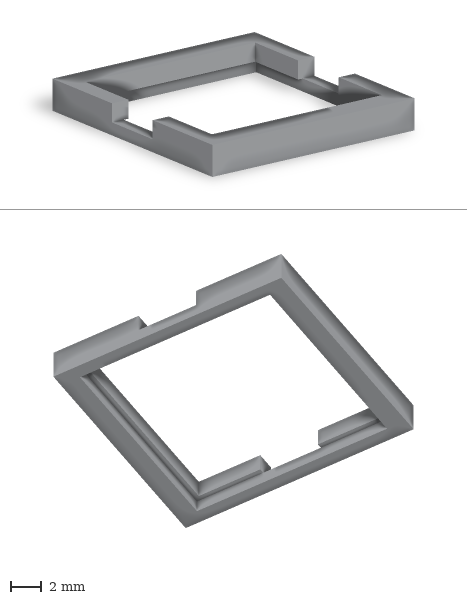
import cadquery as cq

length = 17.5
width = 16.5
height = 2.2

opening = 13.86
rebate_margin = 0.37
rebate_height = 0.9
rebate_size = opening + 2 * rebate_margin

notch_width = 4.43
notch_depth = height - rebate_height


def box_from(bottom, size_x, size_y, size_z):
    """Box centred on the Z axis, rising from the given level."""
    return cq.Workplane("XY", origin=(0, 0, bottom)).rect(size_x, size_y).extrude(size_z)


frame = box_from(0, length, width, height)
upper_opening = box_from(0, opening, opening, height)
lower_rebate = box_from(0, rebate_size, rebate_size, rebate_height)
notch = box_from(rebate_height, notch_width, width, notch_depth)

result = frame.cut(upper_opening).cut(lower_rebate).cut(notch)